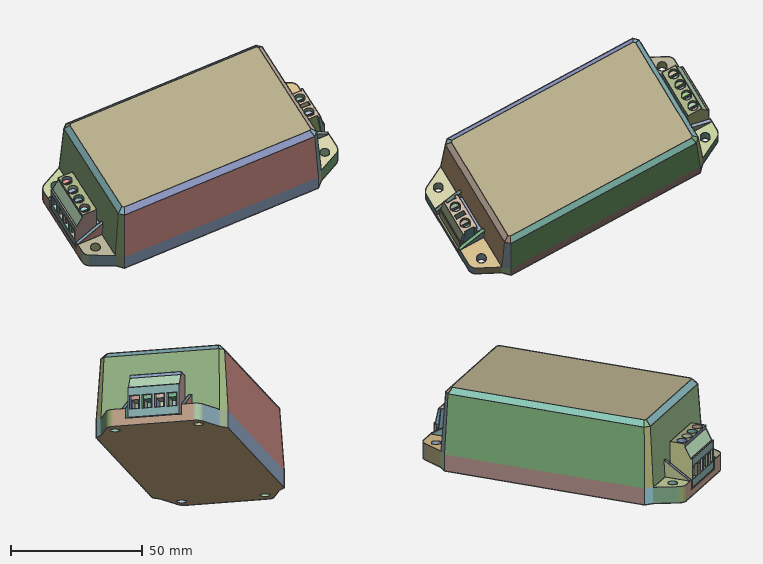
import cadquery as cq

length = 109.0
body_width = 52.0
body_length = 88.2
height = 33.5
base_height = 6.8
body_half_x = body_width / 2
body_half_y = body_length / 2
corner_cut = 2.6
draft_inset = 1.6
shoulder_corner_cut = 1.7
top_chamfer = 2.1
top_corner_cut = 0.7
shoulder_z = height - top_chamfer

flange_end_y = length / 2
flange_end_half_x = 18.0
flange_corner_radius = 3.4
hole_diameter = 3.7
hole_x = 16.5
hole_y = 49.0

bay_floor_z = 2.8
bay_wall_recess = 0.2
bay_wall_y = body_half_y - bay_wall_recess
rib_root_z = 14.4
rib_thickness = 1.3
front_bay_half_x = 11.0
rear_bay_half_x = 8.3
header_top_z = 11.1

screw_diameter = 3.9
screw_recess = 2.0
screw_slot_width = 0.7
screw_slot_depth = 0.5

front_half_x = 10.0
front_bottom_z = 3.2
front_top_z = 20.7
front_back_y = -45.2
front_poles = 4
front_pitch = 4.9
front_screw_y = -48.9
front_top_edge_y = -51.3
front_bevel_top_z = 19.5
front_bevel_foot_y = -53.7
front_bevel_foot_z = 15.0
front_face_y = -54.4

entry_width = 3.9
entry_bottom_z = 6.4
entry_height = 5.3
entry_funnel_inset = 0.3
entry_funnel_depth = 0.7
entry_inner_width = 2.6
entry_inner_height = 3.7
entry_inner_depth = 5.5

rear_poles = 2
rear_pitch = 7.5
rear_center_x = -0.16
rear_screw_shift = -0.16
rear_screw_y = 49.0
rear_top_z = 16.9
rear_back_y = 45.9
rear_top_edge_y = 52.0
rear_slope_foot_y = 53.3
rear_step_z = 10.7
rear_face_y = 53.7
rear_half_x = rear_poles * rear_pitch / 2

groove_left_depth = 0.7
groove_right_depth = 1.0
groove_top_y = (47.1, 51.1)
groove_foot_y = (46.5, 52.8)

tongue_y = (52.5, 53.5)
tongue_top_z = 10.5
header_flange_y = 44.7


def box(x_range, y_range, z_range):
    """Axis-aligned block between the given limits."""
    size = [high - low for low, high in (x_range, y_range, z_range)]
    corner = (x_range[0], y_range[0], z_range[0])
    return cq.Workplane("XY").box(*size, centered=False).translate(corner)


def side_profile(points, x_min, x_max):
    """Extrude a (Y, Z) outline from x_min to x_max."""
    return cq.Workplane("YZ", origin=(x_min, 0, 0)).polyline(points).close().extrude(x_max - x_min)


def bevelled_rectangle(half_x, half_y, cut):
    """Corner points of a rectangle with bevelled corners."""
    return [
        (half_x, half_y - cut), (half_x - cut, half_y), (cut - half_x, half_y), (-half_x, half_y - cut),
        (-half_x, cut - half_y), (cut - half_x, -half_y), (half_x - cut, -half_y), (half_x, cut - half_y),
    ]


def frustum(lower, upper, z_low, z_high):
    """Flat-sided solid between two bevelled rectangles."""
    return (
        cq.Workplane("XY", origin=(0, 0, z_low)).polyline(bevelled_rectangle(*lower)).close()
        .workplane(offset=z_high - z_low).polyline(bevelled_rectangle(*upper)).close()
        .loft(ruled=True)
    )


def make_enclosure():
    base = (body_half_x, body_half_y, corner_cut)
    shoulder = (body_half_x - draft_inset, body_half_y - draft_inset, shoulder_corner_cut)
    top = (shoulder[0] - top_chamfer, shoulder[1] - top_chamfer, top_corner_cut)
    foot = cq.Workplane("XY").polyline(bevelled_rectangle(*base)).close().extrude(base_height)
    flange_root_x = body_half_x - corner_cut
    flange_outline = [
        (flange_end_half_x, -flange_end_y), (flange_root_x, -body_half_y),
        (flange_root_x, body_half_y), (flange_end_half_x, flange_end_y),
        (-flange_end_half_x, flange_end_y), (-flange_root_x, body_half_y),
        (-flange_root_x, -body_half_y), (-flange_end_half_x, -flange_end_y),
    ]
    flanges = (
        cq.Workplane("XY").polyline(flange_outline).close().extrude(base_height)
        .edges("|Z and (>Y or <Y)").fillet(flange_corner_radius)
    )
    holes = (
        cq.Workplane("XY").rect(2 * hole_x, 2 * hole_y, forConstruction=True).vertices()
        .circle(hole_diameter / 2).extrude(base_height)
    )
    walls = frustum(base, shoulder, base_height, shoulder_z)
    lid = frustum(shoulder, top, shoulder_z, height)
    return foot.union(flanges).cut(holes).union(walls).union(lid)


def add_bay(part, side, half_x):
    """Sunken bay with a sloping rib on each flank; side is -1 or +1 along Y."""
    rib_points = [
        (side * flange_end_y, base_height),
        (side * (body_half_y - draft_inset), base_height),
        (side * (body_half_y - draft_inset), rib_root_z),
    ]
    outer_x = half_x + rib_thickness
    y_range = sorted((side * bay_wall_y, side * flange_end_y))
    part = part.cut(box((-half_x, half_x), y_range, (bay_floor_z, height)))
    for x_range in ((-outer_x, -half_x), (half_x, outer_x)):
        part = part.union(side_profile(rib_points, *x_range))
    return part


def cut_screw(block, x, y, top_z):
    """Recessed round screw head with a driver slot along Y."""
    head_z = top_z - screw_recess
    head = cq.Workplane("XY", origin=(x, y, head_z))
    recess = head.circle(screw_diameter / 2).extrude(screw_recess)
    slot_bar = head.rect(screw_slot_width, screw_diameter).extrude(-screw_slot_depth)
    slot = head.circle(screw_diameter / 2).extrude(-screw_slot_depth).intersect(slot_bar)
    return block.cut(recess).cut(slot)


def cut_wire_entry(block, x):
    """Wire entry with converging sides, leading to a smaller inner chamber."""
    middle_z = entry_bottom_z + entry_height / 2
    funnel = (
        cq.Workplane("XZ", origin=(x, front_face_y, middle_z)).rect(entry_width, entry_height)
        .workplane(offset=-entry_funnel_depth)
        .rect(entry_width - 2 * entry_funnel_inset, entry_height)
        .loft(ruled=True)
    )
    chamber = box(
        (x - entry_inner_width / 2, x + entry_inner_width / 2),
        (front_face_y, front_face_y + entry_inner_depth),
        (entry_bottom_z, entry_bottom_z + entry_inner_height),
    )
    return block.cut(funnel).cut(chamber)


def pole_positions(count, pitch, center):
    return [center + (i - (count - 1) / 2) * pitch for i in range(count)]


def make_front_block():
    outline = [
        (front_back_y, front_bottom_z), (front_back_y, front_top_z), (front_top_edge_y, front_top_z),
        (front_top_edge_y, front_bevel_top_z), (front_bevel_foot_y, front_bevel_foot_z),
        (front_face_y, front_bevel_foot_z), (front_face_y, front_bottom_z),
    ]
    block = side_profile(outline, -front_half_x, front_half_x)
    for x in pole_positions(front_poles, front_pitch, 0):
        block = cut_screw(block, x, front_screw_y, front_top_z)
        block = cut_wire_entry(block, x)
    header = box((-front_half_x, front_half_x), (front_back_y, -bay_wall_y), (front_bottom_z, header_top_z))
    return block.union(header)


def make_rear_block():
    left_x = rear_center_x - rear_half_x
    right_x = rear_center_x + rear_half_x
    outline = [
        (rear_back_y, bay_floor_z), (rear_back_y, rear_top_z), (rear_top_edge_y, rear_top_z),
        (rear_slope_foot_y, rear_step_z), (rear_face_y, rear_step_z), (rear_face_y, bay_floor_z),
    ]
    block = side_profile(outline, left_x, right_x)
    groove_outline = [
        (groove_foot_y[0], bay_floor_z), (groove_top_y[0], rear_top_z),
        (groove_top_y[1], rear_top_z), (groove_foot_y[1], bay_floor_z),
    ]
    for x in pole_positions(rear_poles, rear_pitch, rear_center_x):
        pole_left = x - rear_pitch / 2
        pole_right = x + rear_pitch / 2
        block = block.cut(side_profile(groove_outline, pole_left, pole_left + groove_left_depth))
        block = block.cut(side_profile(groove_outline, pole_right - groove_right_depth, pole_right))
        block = cut_screw(block, x + rear_screw_shift, rear_screw_y, rear_top_z)
    tongue = box((-rear_bay_half_x, left_x), tongue_y, (bay_floor_z, tongue_top_z))
    header = box((left_x, right_x), (bay_wall_y, rear_back_y), (bay_floor_z, header_top_z))
    header_flange = box(
        (-rear_bay_half_x, right_x), (bay_wall_y, header_flange_y), (bay_floor_z, header_top_z)
    )
    return block.union(tongue).union(header).union(header_flange)


result = make_enclosure()
result = add_bay(result, -1, front_bay_half_x)
result = add_bay(result, 1, rear_bay_half_x)
result = result.union(make_front_block()).union(make_rear_block())